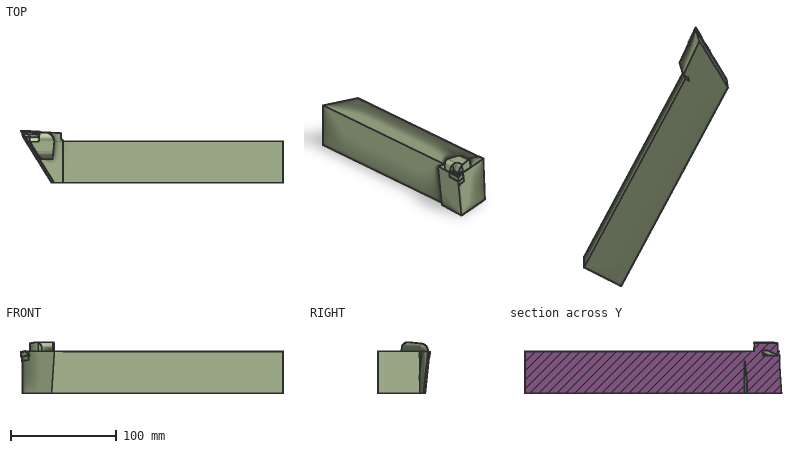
import cadquery as cq
import math

LENGTH = 249.5
SHANK_SIZE = 40.0
HEAD_END = 40.5
HEAD_STEP = 0.37
HEAD_HEIGHT = SHANK_SIZE + HEAD_STEP
HEAD_RAMP = 0.7
HEAD_BACK_END = 38.2
OVERHANG_CHAMFER_DEPTH = 2.2
CUT_MARGIN = 74.9

TIP = (0.0, 50.0, 39.7)
TILT = 6.0
BACK_ANGLE = -3.0
NOSE_ANGLE = 55.0

INSERT_LENGTH = 17.0
INSERT_SIDE = 11.7
INSERT_THICKNESS = 4.7
POCKET_SIDE = 12.2
SHIM_THICKNESS = 4.2
SHIM_INSET = 0.37
SHIM_TAPER = 2.0
GROOVE_START = 1.2
GROOVE_END = 3.0
GROOVE_DEPTH = 0.5
RELIEF_START = 8.0
RELIEF_REACH = 4.5
RELIEF_CLIMB = 2.0
RELIEF_DEPTH = 3.0

HEAD_BACK_INSET = 0.37
HEAD_SLANT_INSET = 0.7
NOSE_BACK = 1.5
NOSE_FRONT = 1.87

CLAMP_TOP = 7.0
CLAMP_ROOT = -2.5
CLAMP_LEFT = 8.5
CLAMP_RIGHT = 31.7
CLAMP_FRONT = -27.5
CLAMP_FRONT_RIGHT = 30.2
CLAMP_REAR = -2.0
FRONT_RADIUS = 6.2
REAR_RADIUS = 7.5
CLAMP_LEFT_V = -11.0
CORNER_FACET_START = (16.5, -24.7)
CORNER_FACET_END = 20.0
REAR_CURVE_START = -11.2
REAR_CURVE_MID = (29.5, -5.0)
REAR_CURVE_END = 25.5
WINDOW_TOP_V = -11.5
WINDOW_ARC_MID = (-8.0, 4.2)
WINDOW_FOOT_V = -6.2
WINDOW_RADIUS = 1.2
WINDOW_WALL = 17.5

back_dir = (math.cos(math.radians(BACK_ANGLE)), math.sin(math.radians(BACK_ANGLE)))
slant_angle = math.radians(BACK_ANGLE - NOSE_ANGLE)
slant_dir = (math.cos(slant_angle), math.sin(slant_angle))
up_dir = (0, math.sin(math.radians(TILT)), math.cos(math.radians(TILT)))


def seat_plane(w=0.0):
    """Plane parallel to the insert top, at height w above it, with its origin over the tip."""
    origin = tuple(t + w * d for t, d in zip(TIP, up_dir))
    return cq.Plane(origin=origin, xDir=(1, 0, 0), normal=up_dir)


def seat_vector(u, v):
    """Direction in the seat plane, given by its components along X and along the tilted Y."""
    return seat_plane().xDir * u + seat_plane().yDir * v


def cross_plane():
    """Plane across X through the tip, with local axes v (toward +Y) and w (up)."""
    return cq.Plane(origin=TIP, xDir=seat_plane().yDir, normal=(1, 0, 0))


def inset_point(back_inset, slant_inset, along_back=0.0, along_slant=0.0):
    """Point in the seat plane, given by distances behind and along the two cutting edges."""
    nose_sine = math.sin(math.radians(NOSE_ANGLE))
    on_back = along_back + slant_inset / nose_sine
    on_slant = along_slant + back_inset / nose_sine
    return tuple(on_back * b + on_slant * s for b, s in zip(back_dir, slant_dir))


def insert_blank(side, top, thickness, inset=0.0, taper=0.0):
    """Parallelogram block reaching down from height top in the tilted frame."""
    outline = [
        inset_point(inset, inset),
        inset_point(inset, inset, INSERT_LENGTH, 0),
        inset_point(inset, inset, INSERT_LENGTH, side),
        inset_point(inset, inset, 0, side),
    ]
    return cq.Workplane(seat_plane(top)).polyline(outline).close().extrude(-thickness, taper=taper)


def chip_groove():
    """Groove behind the long edge: a slope down to a flat floor, then a step up."""
    groove_plane = cq.Plane(
        origin=TIP,
        xDir=seat_vector(-back_dir[1], back_dir[0]),
        normal=seat_vector(*back_dir),
    )
    return (
        cq.Workplane(groove_plane)
        .polyline([(0, 0), (-GROOVE_START, -GROOVE_DEPTH), (-GROOVE_END, -GROOVE_DEPTH), (-GROOVE_END, 0)])
        .close()
        .extrude(INSERT_LENGTH + GROOVE_END, both=True)
    )


def corner_relief():
    """Block whose base, through three edge points, slopes off the inner upper corner of the insert."""
    seat = seat_plane()
    outer = seat.toWorldCoords((*inset_point(0, 0, 0, RELIEF_START), 0))
    inner = seat.toWorldCoords((*inset_point(0, 0, RELIEF_REACH, RELIEF_START - RELIEF_CLIMB), 0))
    lower = seat.toWorldCoords((*inset_point(0, 0, 0, INSERT_SIDE), -RELIEF_DEPTH))
    face_normal = lower.sub(outer).cross(inner.sub(outer))
    return (
        cq.Workplane(cq.Plane(origin=outer, xDir=inner.sub(outer), normal=face_normal))
        .rect(2 * RELIEF_REACH, 2 * INSERT_SIDE)
        .extrude(INSERT_SIDE)
    )


def make_insert():
    blank = insert_blank(INSERT_SIDE, 0, INSERT_THICKNESS)
    return blank.cut(chip_groove()).cut(corner_relief())


def make_shank():
    return cq.Workplane("XY").box(
        LENGTH - HEAD_END, SHANK_SIZE, SHANK_SIZE, centered=False
    ).translate((HEAD_END, 0, 0))


def make_head():
    corner = inset_point(HEAD_BACK_INSET, HEAD_SLANT_INSET)
    back_slope = back_dir[1] / back_dir[0]
    slant_slope = slant_dir[1] / slant_dir[0]
    back_end_v = corner[1] + (HEAD_BACK_END - corner[0]) * back_slope
    side_v = (SHANK_SIZE - TIP[1]) / up_dir[2]
    outline = [
        (NOSE_BACK, corner[1] + (NOSE_BACK - corner[0]) * back_slope),
        (HEAD_BACK_END, back_end_v),
        (HEAD_BACK_END, side_v + OVERHANG_CHAMFER_DEPTH),
        (HEAD_END, side_v),
        (HEAD_END, corner[1] + (HEAD_END - corner[0]) * slant_slope),
        (NOSE_FRONT, corner[1] + (NOSE_FRONT - corner[0]) * slant_slope),
    ]
    prism = cq.Workplane(seat_plane(-CUT_MARGIN)).polyline(outline).close().extrude(2 * CUT_MARGIN)
    drop = CUT_MARGIN * math.tan(math.radians(TILT))
    envelope = (
        cq.Workplane("YZ")
        .polyline([
            (0, 0),
            (SHANK_SIZE + CUT_MARGIN, 0),
            (SHANK_SIZE + CUT_MARGIN, HEAD_HEIGHT - drop),
            (SHANK_SIZE, HEAD_HEIGHT),
            (0, HEAD_HEIGHT),
        ])
        .close()
        .extrude(HEAD_END)
    )
    ramp = (
        cq.Workplane("XZ")
        .polyline([
            (HEAD_END - HEAD_RAMP, HEAD_HEIGHT),
            (HEAD_END, HEAD_HEIGHT),
            (HEAD_END, SHANK_SIZE),
        ])
        .close()
        .extrude(-CUT_MARGIN)
    )
    return prism.intersect(envelope).cut(ramp)


def make_clamp():
    plan = (
        cq.Workplane(seat_plane(CLAMP_ROOT))
        .moveTo(CLAMP_LEFT, CLAMP_REAR)
        .lineTo(CLAMP_LEFT, CLAMP_LEFT_V)
        .lineTo(*CORNER_FACET_START)
        .lineTo(CORNER_FACET_END, CLAMP_FRONT)
        .lineTo(CLAMP_FRONT_RIGHT, CLAMP_FRONT)
        .lineTo(CLAMP_RIGHT, REAR_CURVE_START)
        .threePointArc(REAR_CURVE_MID, (REAR_CURVE_END, CLAMP_REAR))
        .close()
        .extrude(CLAMP_TOP - CLAMP_ROOT)
    )
    profile = (
        cq.Workplane(cross_plane())
        .moveTo(CLAMP_FRONT, CLAMP_ROOT)
        .lineTo(CLAMP_FRONT, CLAMP_TOP - FRONT_RADIUS)
        .radiusArc((CLAMP_FRONT + FRONT_RADIUS, CLAMP_TOP), FRONT_RADIUS)
        .lineTo(CLAMP_REAR - REAR_RADIUS, CLAMP_TOP)
        .radiusArc((CLAMP_REAR, CLAMP_TOP - REAR_RADIUS), REAR_RADIUS)
        .lineTo(CLAMP_REAR, CLAMP_ROOT)
        .close()
        .extrude(CLAMP_RIGHT)
    )
    window = (
        cq.Workplane(cross_plane())
        .moveTo(WINDOW_TOP_V, CLAMP_TOP)
        .threePointArc(WINDOW_ARC_MID, (WINDOW_FOOT_V, 0))
        .lineTo(WINDOW_FOOT_V, CLAMP_ROOT)
        .lineTo(0, CLAMP_ROOT)
        .lineTo(0, CLAMP_TOP)
        .close()
        .extrude(WINDOW_WALL)
        .edges(">X").edges("%CIRCLE")
        .fillet(WINDOW_RADIUS)
    )
    return plan.intersect(profile).cut(window)


def make_holder():
    shim = insert_blank(POCKET_SIDE, -INSERT_THICKNESS, SHIM_THICKNESS, SHIM_INSET, SHIM_TAPER)
    pocket = insert_blank(POCKET_SIDE, 0, INSERT_THICKNESS)
    return make_shank().union(make_head()).union(make_clamp()).cut(pocket).union(shim)


holder = make_holder()
insert = make_insert()
result = cq.Compound.makeCompound([holder.val(), insert.val()])